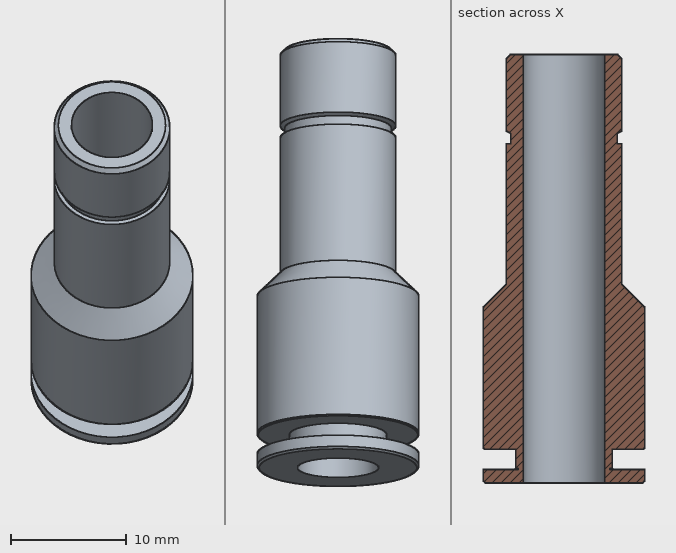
import cadquery as cq

total_length = 37.0
body_diameter = 14.0
stem_diameter = 10.0
bore_diameter = 7.0

flange_thickness = 1.2
flange_chamfer = 0.2
neck_diameter = 8.4
undercut_diameter = 8.0
undercut_height = 0.07
body_bottom = 2.92

body_chamfer = 0.1
shoulder_top = 17.2
shoulder_height = (body_diameter - stem_diameter) / 2

groove_diameter = 9.2
groove_bottom = 29.3
groove_width = 1.07
groove_taper_height = 0.22
tip_chamfer = 0.37


def cylinder(diameter, bottom, top):
    """Solid cylinder about the Z axis between two heights."""
    return cq.Workplane("XY").workplane(offset=bottom).circle(diameter / 2).extrude(top - bottom)


def ring(section):
    """Solid made by turning a closed (radius, height) section about the Z axis."""
    return cq.Workplane("XZ").polyline(section).close().revolve(360, (0, 0, 0), (0, 1, 0))


def make_collar():
    flange = cylinder(body_diameter, 0, flange_thickness).faces("<Z").chamfer(flange_chamfer)
    neck_bottom = flange_thickness + undercut_height
    undercut = cylinder(undercut_diameter, flange_thickness, neck_bottom)
    neck = cylinder(neck_diameter, neck_bottom, body_bottom)
    return flange.union(undercut).union(neck)


def make_body():
    body = cylinder(body_diameter, body_bottom, shoulder_top)
    body = body.faces(">Z").chamfer(shoulder_height)
    return body.faces("<Z").chamfer(body_chamfer)


def make_stem():
    stem = cylinder(stem_diameter, shoulder_top, total_length).faces(">Z").chamfer(tip_chamfer)
    groove_top = groove_bottom + groove_width
    groove = ring([
        (groove_diameter / 2, groove_bottom),
        (stem_diameter / 2, groove_bottom),
        (stem_diameter / 2, groove_top),
        (groove_diameter / 2, groove_top - groove_taper_height),
    ])
    return stem.cut(groove)


bore = cylinder(bore_diameter, 0, total_length)
result = make_collar().union(make_body()).union(make_stem()).cut(bore)